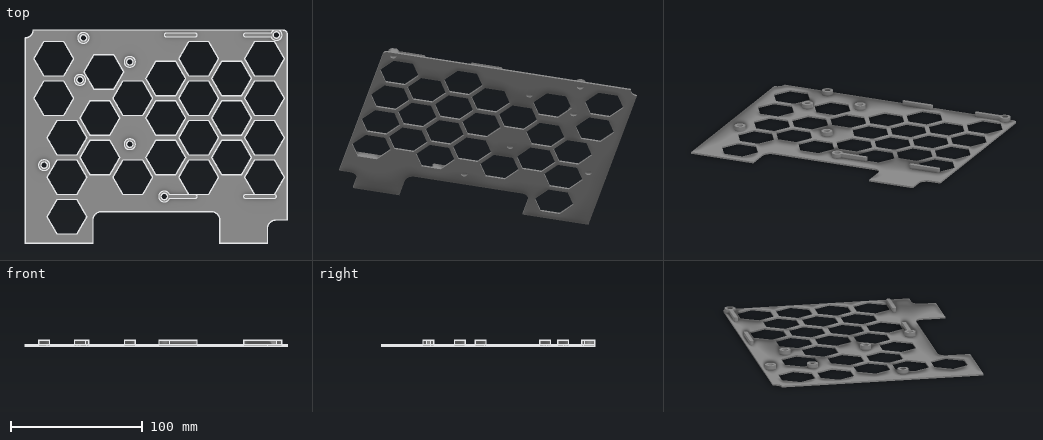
import cadquery as cq
import math

SHEET_LENGTH = 199.0
SHEET_WIDTH = 162.0
TOTAL_HEIGHT = 4.8
SHEET_THICKNESS = 1.3

CORNER_SCALLOP_RADIUS = 5.9
CORNER_RADIUS = 3.0
INNER_FILLET_RADIUS = 6.4
LEFT_LEG_WIDTH = 51.5
NOTCH_WIDTH = 96.2
NOTCH_DEPTH = 24.0
STEP_WIDTH = 15.0
STEP_DEPTH = 17.6

HEX_ACROSS_FLATS = 26.0
HEX_ACROSS_CORNERS = HEX_ACROSS_FLATS / math.cos(math.radians(30))
COLUMN_PITCH = 25.0
ROW_PITCH = 30.0
FIRST_COLUMN_X = 31.7
TOP_ROW_Y = SHEET_WIDTH - 21.8

GRID_WINDOWS = {
    0: (2, 3, 4),
    1: (1.5, 2.5),
    2: (1, 3),
    3: (0.5, 1.5, 2.5),
    4: (0, 1, 2, 3),
    5: (0.5, 1.5, 2.5),
    6: (0, 1, 2, 3),
}
LEFT_PAIR_SHIFT = 10.0
LEFT_PAIR_X = FIRST_COLUMN_X - LEFT_PAIR_SHIFT
LEFT_PAIR_ROWS = (0, 1)
SINGLE_WINDOW_SHIFT = 3.0
SINGLE_WINDOW_DROP = 10.0
SINGLE_WINDOW_X = FIRST_COLUMN_X + COLUMN_PITCH + SINGLE_WINDOW_SHIFT
SINGLE_WINDOW_Y = TOP_ROW_Y - SINGLE_WINDOW_DROP

BOSS_DIAMETER = 8.36
BOSS_HOLE_DIAMETER = 4.7
BAR_WIDTH = 2.9
BAR_SPAN = 24.9
UPPER_BAR_Y = SHEET_WIDTH - 3.8
LOWER_BAR_Y = SHEET_WIDTH - 126.4
LEFT_BAR_X = 105.6
RIGHT_BAR_X = 165.8

BOSS_CENTERS = [
    (44.2, SHEET_WIDTH - 6.0),
    (41.6, SHEET_WIDTH - 37.9),
    (79.4, SHEET_WIDTH - 24.2),
    (79.4, SHEET_WIDTH - 86.7),
    (14.4, SHEET_WIDTH - 102.6),
    (LEFT_BAR_X, LOWER_BAR_Y),
    (RIGHT_BAR_X + BAR_SPAN, UPPER_BAR_Y),
]


def grid_y(row):
    return TOP_ROW_Y - row * ROW_PITCH


def window_centers():
    centers = []
    for column, rows in GRID_WINDOWS.items():
        for row in rows:
            centers.append((FIRST_COLUMN_X + column * COLUMN_PITCH, grid_y(row)))
    for row in LEFT_PAIR_ROWS:
        centers.append((LEFT_PAIR_X, grid_y(row)))
    centers.append((SINGLE_WINDOW_X, SINGLE_WINDOW_Y))
    return centers


def make_sheet():
    """Flat sheet with a bottom notch, a corner step, a scallop and a round corner."""
    notch_end = LEFT_LEG_WIDTH + NOTCH_WIDTH
    step_start = SHEET_LENGTH - STEP_WIDTH
    sheet = (
        cq.Workplane("XY")
        .polyline([
            (0, 0),
            (LEFT_LEG_WIDTH, 0),
            (LEFT_LEG_WIDTH, NOTCH_DEPTH),
            (notch_end, NOTCH_DEPTH),
            (notch_end, 0),
            (step_start, 0),
            (step_start, STEP_DEPTH),
            (SHEET_LENGTH, STEP_DEPTH),
            (SHEET_LENGTH, SHEET_WIDTH),
            (0, SHEET_WIDTH),
        ])
        .close()
        .extrude(SHEET_THICKNESS)
    )
    inner_corners = [
        (LEFT_LEG_WIDTH, NOTCH_DEPTH),
        (notch_end, NOTCH_DEPTH),
        (step_start, STEP_DEPTH),
    ]
    for corner in inner_corners:
        sheet = round_corner(sheet, corner, INNER_FILLET_RADIUS)
    sheet = round_corner(sheet, (SHEET_LENGTH, SHEET_WIDTH), CORNER_RADIUS)
    scallop = (
        cq.Workplane("XY")
        .center(0, SHEET_WIDTH)
        .circle(CORNER_SCALLOP_RADIUS)
        .extrude(SHEET_THICKNESS)
    )
    return sheet.cut(scallop)


def round_corner(sheet, corner, radius):
    """Fillet the upright edge of the sheet at the given XY corner."""
    edge_middle = (corner[0], corner[1], SHEET_THICKNESS / 2)
    return sheet.edges("|Z").edges(cq.selectors.NearestToPointSelector(edge_middle)).fillet(radius)


def make_windows():
    return (
        cq.Workplane("XY")
        .pushPoints(window_centers())
        .polygon(6, HEX_ACROSS_CORNERS)
        .extrude(SHEET_THICKNESS)
    )


def make_bars():
    """Four round-ended bars rising from the sheet bottom, in two rows of two."""
    bar_centers = [
        (start_x + BAR_SPAN / 2, y)
        for start_x in (LEFT_BAR_X, RIGHT_BAR_X)
        for y in (LOWER_BAR_Y, UPPER_BAR_Y)
    ]
    return (
        cq.Workplane("XY")
        .pushPoints(bar_centers)
        .slot2D(BAR_SPAN, BAR_WIDTH)
        .extrude(TOTAL_HEIGHT)
    )


def make_bosses():
    """Round bosses, trimmed flush where one overhangs the top edge of the sheet."""
    bosses = (
        cq.Workplane("XY")
        .pushPoints(BOSS_CENTERS)
        .circle(BOSS_DIAMETER / 2)
        .extrude(TOTAL_HEIGHT)
    )
    envelope = cq.Workplane("XY").box(SHEET_LENGTH, SHEET_WIDTH, TOTAL_HEIGHT, centered=False)
    return bosses.intersect(envelope)


def make_boss_holes():
    return (
        cq.Workplane("XY")
        .pushPoints(BOSS_CENTERS)
        .circle(BOSS_HOLE_DIAMETER / 2)
        .extrude(TOTAL_HEIGHT)
    )


perforated_sheet = make_sheet().cut(make_windows())
result = perforated_sheet.union(make_bars()).union(make_bosses()).cut(make_boss_holes())